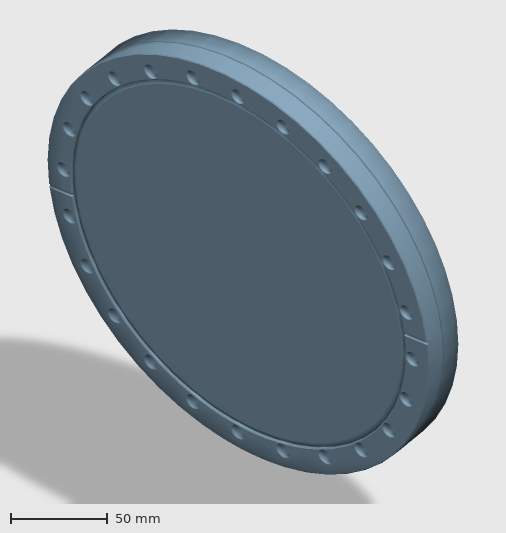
import cadquery as cq
import math

flange_diameter = 254.0
flange_thickness = 24.6
front_y = -flange_thickness / 2
back_y = flange_thickness / 2
rim_chamfer = 0.5

rim_groove_y = 0.0
rim_groove_depth = 0.5

bore_diameter = 222.2
bore_chamfer = 0.5
insert_diameter = 222.0
neck_diameter = 211.0
shoulder_y = 0.0

face_diameter = 216.8
face_recess = 0.7
cone_angle = 20.0
cone_depth = (insert_diameter - face_diameter) / 2 * math.tan(math.radians(cone_angle))

bolt_count = 24
bolt_circle_diameter = 232.0
bolt_hole_diameter = 8.4
bolt_hole_chamfer = 0.3
bolt_pitch_angle = 360 / bolt_count

leak_groove_diameter = 2.4
leak_groove_angle = bolt_pitch_angle / 2


def revolve_about_y(profile):
    """Solid of revolution about Y from (radius, y) points."""
    return cq.Workplane("XY").polyline(profile).close().revolve(360, (0, 0, 0), (0, 1, 0))


def ring_blank():
    outer_radius = flange_diameter / 2
    bore_radius = bore_diameter / 2
    neck_radius = neck_diameter / 2
    return revolve_about_y([
        (bore_radius + bore_chamfer, front_y),
        (outer_radius - rim_chamfer, front_y),
        (outer_radius, front_y + rim_chamfer),
        (outer_radius, rim_groove_y - rim_groove_depth),
        (outer_radius - rim_groove_depth, rim_groove_y),
        (outer_radius, rim_groove_y + rim_groove_depth),
        (outer_radius, back_y - rim_chamfer),
        (outer_radius - rim_chamfer, back_y),
        (neck_radius, back_y),
        (neck_radius, shoulder_y),
        (bore_radius, shoulder_y),
        (bore_radius, front_y + bore_chamfer),
    ])


def bolt_holes():
    """Cutters for the through holes, each flared at the front face by its chamfer."""
    hole_radius = bolt_hole_diameter / 2
    cutter = revolve_about_y([
        (0, front_y),
        (hole_radius + bolt_hole_chamfer, front_y),
        (hole_radius, front_y + bolt_hole_chamfer),
        (hole_radius, back_y),
        (0, back_y),
    ]).translate((bolt_circle_diameter / 2, 0, 0))
    cutters = [
        cutter.rotate((0, 0, 0), (0, 1, 0), i * bolt_pitch_angle).val()
        for i in range(bolt_count)
    ]
    return cq.Compound.makeCompound(cutters)


def leak_groove():
    """Round bar along the full diameter, centred on the front face."""
    plane = cq.Workplane("YZ", origin=(0, front_y, 0))
    bar = plane.circle(leak_groove_diameter / 2).extrude(flange_diameter / 2, both=True)
    return bar.rotate((0, 0, 0), (0, -1, 0), leak_groove_angle)


def make_ring():
    return ring_blank().cut(cq.Workplane(bolt_holes())).cut(leak_groove())


def make_insert():
    face_y = front_y + face_recess
    insert_radius = insert_diameter / 2
    neck_radius = neck_diameter / 2
    return revolve_about_y([
        (0, face_y),
        (face_diameter / 2, face_y),
        (insert_radius, face_y + cone_depth),
        (insert_radius, shoulder_y),
        (neck_radius, shoulder_y),
        (neck_radius, back_y),
        (0, back_y),
    ])


ring = make_ring()
insert = make_insert()

result = cq.Compound.makeCompound([ring.val(), insert.val()])